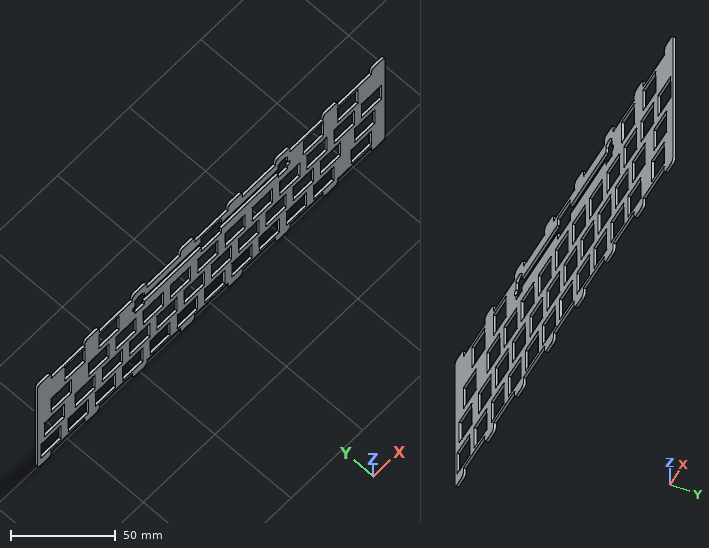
import cadquery as cq

plate_length = 243.0
plate_height = 86.2
plate_thickness = 1.5

keys_along_plate = 12.75
row_count = 4
key_pitch = plate_length / keys_along_plate
body_height = row_count * key_pitch
web_between_switches = 5.0
switch_size = key_pitch - web_between_switches

tab_width = 10.2
tab_pitch = 33.3
tab_pairs_per_side = 3
end_tab_width = 9.7
tab_corner_radius = 2.5

stabilizer_offset = 50.0
housing_width = 6.5
housing_shoulder = 6.0
housing_top = 7.8
housing_bottom = -5.5
side_notch_radius = 1.7
side_notch_height = -0.7
wire_slot_top = 2.5
wire_slot_bottom = -2.7

space_bar_centre = keys_along_plate / 2
row_switch_centres = [
    [1.375, 2.625, space_bar_centre, 10.125, 11.375],
    [0.875] + [2.25 + key for key in range(11)],
    [0.625] + [1.75 + key for key in range(10)] + [12.0],
    [0.5 + key for key in range(11)] + [11.875],
]


def key_x(keys_from_left):
    return keys_from_left * key_pitch - plate_length / 2


def row_z(row):
    return ((row_count - 1) / 2 - row) * key_pitch


def block(left, right, bottom, top):
    """A block through the plate thickness, centred on Y = 0."""
    return (
        cq.Workplane("XY")
        .box(right - left, plate_thickness, top - bottom)
        .translate(((left + right) / 2, 0, (bottom + top) / 2))
    )


def tab_bar(left, right):
    """A full-height bar whose two rounded ends are a pair of opposite tabs."""
    bar = block(left, right, -plate_height / 2, plate_height / 2)
    return bar.edges("|Y").fillet(tab_corner_radius)


def make_plate():
    half_length = plate_length / 2
    end_bar = tab_bar(-half_length, -half_length + end_tab_width)
    inner_left = -half_length + end_tab_width / 2
    plate = block(inner_left, -inner_left, -body_height / 2, body_height / 2)
    plate = plate.union(end_bar).union(end_bar.mirror("YZ"))
    for pair in range(tab_pairs_per_side):
        offset = (pair + 0.5) * tab_pitch
        for centre in (-offset, offset):
            plate = plate.union(tab_bar(centre - tab_width / 2, centre + tab_width / 2))
    return plate


def switch_cutouts():
    points = [
        (key_x(centre), row_z(row))
        for row, centres in enumerate(row_switch_centres)
        for centre in centres
    ]
    return (
        cq.Workplane("XZ")
        .pushPoints(points)
        .rect(switch_size, switch_size)
        .extrude(plate_thickness / 2, both=True)
    )


def left_stabilizer_cutout():
    """The left housing with its domed top and side notch, and its wire slot to the space bar."""
    centre = -stabilizer_offset
    left = centre - housing_width / 2
    right = centre + housing_width / 2
    housing = (
        cq.Workplane("XZ")
        .moveTo(left, housing_bottom)
        .lineTo(right, housing_bottom)
        .lineTo(right, housing_shoulder)
        .threePointArc((centre, housing_top), (left, housing_shoulder))
        .close()
        .extrude(plate_thickness / 2, both=True)
    )
    side_notch = (
        cq.Workplane("XZ")
        .center(left, side_notch_height)
        .circle(side_notch_radius)
        .extrude(plate_thickness / 2, both=True)
    )
    wire_slot = block(centre, 0, wire_slot_bottom, wire_slot_top)
    return housing.union(side_notch).union(wire_slot)


left_cutout = left_stabilizer_cutout().translate((0, 0, row_z(0)))
result = make_plate().cut(switch_cutouts()).cut(left_cutout).cut(left_cutout.mirror("YZ"))